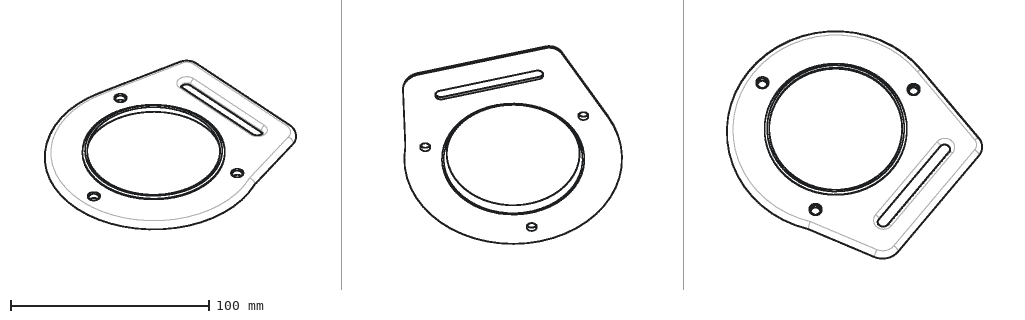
import cadquery as cq
import math

body_radius = 55.0
total_length = 120.1
top_edge_y = total_length - body_radius
plate_thickness = 3.5
edge_fillet = 3.0

left_tangent_angle = 14.5
right_junction_angle = 23.0
right_corner_x = 40.5
left_corner_radius = 7.5
right_corner_radius = 10.1

slot_center_x = -0.7
slot_center_y = 49.4
slot_length = 56.2
slot_width = 5.6
slot_fillet = 2.2

screw_pitch_radius = 45.0
screw_angles = (24.7, 156.9, 273.0)
screw_diameter = 5.0
screw_mouth_diameter = 6.4
screw_chamfer = (screw_mouth_diameter - screw_diameter) / 2

ring_outer_diameter = 72.0
ring_crest_diameter = 69.3
ring_bore_diameter = 67.0
ring_mouth_diameter = 70.2
ring_height = 4.8
ring_shoulder_z = 4.1
ring_bore_edge_z = 4.6


def polar(radius, degrees):
    angle = math.radians(degrees)
    return (radius * math.cos(angle), radius * math.sin(angle))


def plate_blank():
    """Plate outline with rounded top corners and a rounded upper rim."""
    left = math.radians(left_tangent_angle)
    left_corner_x = -(body_radius - top_edge_y * math.sin(left)) / math.cos(left)
    blank = (
        cq.Workplane("XY")
        .moveTo(*polar(body_radius, 180 - left_tangent_angle))
        .threePointArc((0, -body_radius), polar(body_radius, right_junction_angle))
        .lineTo(right_corner_x, top_edge_y)
        .lineTo(left_corner_x, top_edge_y)
        .close()
        .extrude(plate_thickness)
    )
    rounded_corners = ((right_corner_x, right_corner_radius), (left_corner_x, left_corner_radius))
    for corner_x, radius in rounded_corners:
        middle_of_corner = (corner_x, top_edge_y, plate_thickness / 2)
        corner = cq.selectors.NearestToPointSelector(middle_of_corner)
        blank = blank.edges(corner).fillet(radius)
    return blank.faces(">Z").edges().fillet(edge_fillet)


def strap_slot():
    """Cutter for the slot, flared by a rounded rim at the upper face."""
    opening = cq.Workplane("XY").slot2D(slot_length, slot_width).extrude(plate_thickness)
    rim_margin = 4 * slot_fillet
    block = (
        cq.Workplane("XY")
        .rect(slot_length + rim_margin, slot_width + rim_margin)
        .extrude(plate_thickness)
    )
    rim_edges = "not(<X or >X or <Y or >Y)"
    rounded_block = block.cut(opening).faces(">Z").edges(rim_edges).fillet(slot_fillet)
    return block.cut(rounded_block).translate((slot_center_x, slot_center_y, 0))


def screw_hole():
    """Cutter for one screw hole with a chamfered upper mouth."""
    radius = screw_diameter / 2
    mouth_radius = screw_mouth_diameter / 2
    return (
        cq.Workplane("XZ")
        .polyline([
            (0, 0),
            (radius, 0),
            (radius, plate_thickness - screw_chamfer),
            (mouth_radius, plate_thickness),
            (0, plate_thickness),
        ])
        .close()
        .revolve(360, (0, 0, 0), (0, 1, 0))
    )


def make_plate():
    ring_seat = cq.Workplane("XY").circle(ring_outer_diameter / 2).extrude(plate_thickness)
    plate = plate_blank().cut(ring_seat).cut(strap_slot())
    for angle in screw_angles:
        x, y = polar(screw_pitch_radius, angle)
        plate = plate.cut(screw_hole().translate((x, y, 0)))
    return plate


def make_ring():
    """Ring with a sharp crest and a bore that flares along an arc toward its lower face."""
    outer_radius = ring_outer_diameter / 2
    crest_radius = ring_crest_diameter / 2
    bore_radius = ring_bore_diameter / 2
    mouth_radius = ring_mouth_diameter / 2
    flare = mouth_radius - bore_radius
    flare_arc_radius = (flare ** 2 + ring_bore_edge_z ** 2) / (2 * flare)
    half_sweep = math.asin(ring_bore_edge_z / flare_arc_radius) / 2
    flare_middle = (
        bore_radius + flare_arc_radius * (1 - math.cos(half_sweep)),
        ring_bore_edge_z - flare_arc_radius * math.sin(half_sweep),
    )
    return (
        cq.Workplane("XZ")
        .moveTo(mouth_radius, 0)
        .lineTo(outer_radius, 0)
        .lineTo(outer_radius, ring_shoulder_z)
        .lineTo(crest_radius, ring_height)
        .lineTo(bore_radius, ring_bore_edge_z)
        .threePointArc(flare_middle, (mouth_radius, 0))
        .close()
        .revolve(360, (0, 0, 0), (0, 1, 0))
    )


plate = make_plate()
ring = make_ring()
result = cq.Compound.makeCompound([plate.val(), ring.val()])